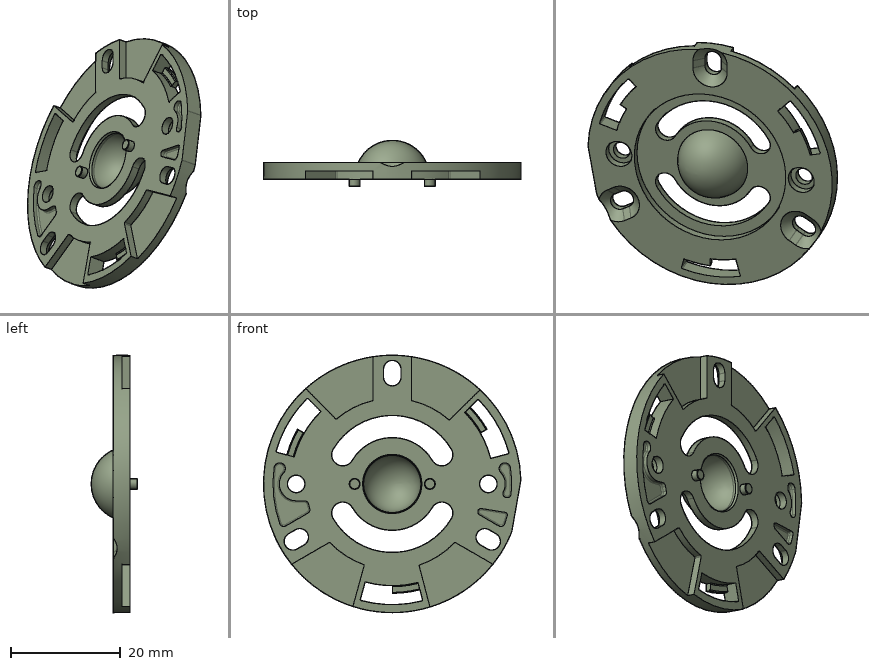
import cadquery as cq
import math

plate_radius = 23.5
front_layer = 1.5
plate_thickness = 3.1
overshoot = 0.45
flat_distance = 22.985
flat_angle = -10
back_recess_radius = 14.55
window_angles = (29.6, 149.6, 269.6)
ear_angles = (90, 210, 330)

sector_inner_radius = 15.6
ear_half_width = 3.5
window_frame = 1.0

window_inner_radius = 18.55
window_outer_radius = 22.0
window_half_angle = 15.0
tab_width = 1.4
tab_angle = 14.6
tab_thickness = 1.0
small_corner_radius = 0.2

hole_radius = 1.575
hole_offset = 17.5
counterbore_radius = 2.5
slot_center_radius = 20.2
slot_length = 4.6
countersink_radius = 3.3

arc_slot_radius = 10.45
arc_slot_half_width = 1.995
arc_slot_half_angle = 59.5

dome_radius = 6.8
dome_height = 4.05
dome_center_y = plate_thickness + dome_height - dome_radius
cavity_mouth_radius = 5.4
cavity_throat_radius = 5.2
cavity_mouth_depth = 0.45
cavity_throat_depth = 1.0
pin_radius = 1.0
pin_height = 1.3
pin_offset = 6.85
pin_chamfer = 0.1

pocket_depth = 1.0
pocket_floor_fillet = 0.25
pocket_outer_radius = 21.75
pocket_inner_radius = 15.75
wall_to_pocket = 1.5
large_cap_radius = 1.05
small_cap_radius = 0.75
corner_radius = 0.75
tip_radius = 0.45
triangle_tip_distance = 13.6
triangle_tip_radius = 0.6
triangle_upper_angle = -14


def polar(radius, angle):
    """Point (x, z) at a radius and an angle in degrees about the plate axis."""
    return radius * math.cos(math.radians(angle)), radius * math.sin(math.radians(angle))


def plane_at(y):
    """Work plane parallel to the plate, with local x along X and local y along Z."""
    return cq.Workplane("XZ", origin=(0, y, 0))


def disc(radius, y_start, y_end, center=(0, 0)):
    return plane_at(y_start).center(*center).circle(radius).extrude(y_start - y_end)


def ring_sector(inner, outer, start, end, y_start, y_end):
    """Block between two radii and two angles."""
    middle = (start + end) / 2
    outline = (
        plane_at(y_start)
        .moveTo(*polar(inner, start))
        .lineTo(*polar(outer, start))
        .threePointArc(polar(outer, middle), polar(outer, end))
        .lineTo(*polar(inner, end))
        .threePointArc(polar(inner, middle), polar(inner, start))
        .close()
    )
    return outline.extrude(y_start - y_end)


def turned(body, angle):
    """Body turned from +X toward +Z by an angle in degrees."""
    return body.rotate((0, 0, 0), (0, -1, 0), angle)


def radial_bar(angle, half_width, y_start, y_end):
    """Straight bar running outward from the plate axis."""
    length = plate_radius + overshoot
    bar = plane_at(y_start).center(length / 2, 0).rect(length, 2 * half_width).extrude(y_start - y_end)
    return turned(bar, angle)


def round_corner(body, point, radius):
    """Rounds the edge parallel to Y that stands at the given (x, z) point."""
    nearest = cq.selectors.NearestToPointSelector((point[0], body.val().Center().y, point[1]))
    return body.edges("|Y").edges(nearest).fillet(radius)


def front_sector(ear_angle, window_angle):
    """Recess between an ear and the frame of a neighbouring window."""
    side = 1 if window_angle > ear_angle else -1
    window_edge = window_angle - side * window_half_angle
    start, end = sorted((ear_angle, window_edge))
    outer = plate_radius + overshoot
    sector = ring_sector(sector_inner_radius, outer, start, end, -overshoot, front_layer)
    sector = sector.cut(radial_bar(ear_angle, ear_half_width, -overshoot, front_layer))
    sector = sector.cut(radial_bar(window_edge, window_frame, -overshoot, front_layer))
    edges = ((ear_angle, ear_half_width, side), (window_edge, window_frame, -side))
    for edge_angle, offset, turn in edges:
        corner_angle = edge_angle + turn * math.degrees(math.asin(offset / sector_inner_radius))
        sector = round_corner(sector, polar(sector_inner_radius, corner_angle), small_corner_radius)
    return sector


def rim_flat():
    """Block that trims a flat on the rim."""
    depth = plate_radius + overshoot - flat_distance
    block = (
        plane_at(-overshoot)
        .center(flat_distance + depth / 2, 0)
        .rect(depth, plate_radius)
        .extrude(-plate_thickness - 2 * overshoot)
    )
    return turned(block, flat_angle)


def arc_slot(middle_angle):
    """Curved slot through the plate with round ends."""
    start = middle_angle - arc_slot_half_angle
    end = middle_angle + arc_slot_half_angle
    inner = arc_slot_radius - arc_slot_half_width
    outer = arc_slot_radius + arc_slot_half_width
    slot = ring_sector(inner, outer, start, end, -overshoot, plate_thickness + overshoot)
    for angle in (start, end):
        center = polar(arc_slot_radius, angle)
        slot = slot.union(disc(arc_slot_half_width, -overshoot, plate_thickness + overshoot, center))
    return slot


def ear_slot(angle):
    """Radial slot with a 45 degree countersink from the back face."""
    straight = slot_length - 2 * hole_radius
    through = (
        plane_at(-overshoot)
        .center(slot_center_radius, 0)
        .slot2D(slot_length, 2 * hole_radius)
        .extrude(-plate_thickness - 2 * overshoot)
    )
    sink = (
        plane_at(plate_thickness)
        .center(slot_center_radius, 0)
        .slot2D(straight + 2 * countersink_radius, 2 * countersink_radius)
        .extrude(countersink_radius - hole_radius, taper=45)
    )
    return turned(through.union(sink), angle)


def cap_center(cap_radius, side, vertical):
    """Centre of a circle touching the pocket's outer arc and the wall around a screw hole."""
    to_axis = pocket_outer_radius - cap_radius
    to_hole = hole_radius + wall_to_pocket + cap_radius
    x = (to_axis**2 - to_hole**2 + hole_offset**2) / (2 * hole_offset)
    return side * x, vertical * math.sqrt(to_axis**2 - x**2)


def touch_points(center, side):
    """Where a cap meets the outer arc and where it meets the wall around the hole."""
    stretch = pocket_outer_radius / math.hypot(*center)
    on_arc = (center[0] * stretch, center[1] * stretch)
    hole_x = side * hole_offset
    wall_radius = hole_radius + wall_to_pocket
    reach = math.hypot(center[0] - hole_x, center[1])
    on_wall = (hole_x + (center[0] - hole_x) * wall_radius / reach, center[1] * wall_radius / reach)
    return on_arc, on_wall


def cap_top(center, cap_radius, vertical):
    return center[0], center[1] + vertical * cap_radius


def round_floor(pocket):
    return pocket.faces(">Y").edges().fillet(pocket_floor_fillet)


def right_hook_pocket():
    """Narrow crescent between the right screw hole and the rim."""
    wall_radius = hole_radius + wall_to_pocket
    upper = cap_center(large_cap_radius, 1, 1)
    lower = cap_center(small_cap_radius, 1, -1)
    upper_arc, upper_wall = touch_points(upper, 1)
    lower_arc, lower_wall = touch_points(lower, 1)
    pocket = (
        plane_at(0)
        .moveTo(*lower_arc)
        .threePointArc((pocket_outer_radius, 0), upper_arc)
        .threePointArc(cap_top(upper, large_cap_radius, 1), upper_wall)
        .threePointArc((hole_offset + wall_radius, 0), lower_wall)
        .threePointArc(cap_top(lower, small_cap_radius, -1), lower_arc)
        .close()
        .extrude(-pocket_depth)
    )
    return round_floor(pocket)


def slot_wall_point(radius, side):
    """Point at a radius on the line that leaves a wall above a lower ear slot."""
    offset = hole_radius + wall_to_pocket
    x, z = polar(radius, -30 + math.degrees(math.asin(offset / radius)))
    return side * x, z


def left_hook_pocket():
    """Crescent around the left screw hole that widens toward the lower ear slot."""
    wall_radius = hole_radius + wall_to_pocket
    upper = cap_center(large_cap_radius, -1, 1)
    upper_arc, upper_wall = touch_points(upper, -1)
    inner_angle = 180 + math.degrees(math.asin(wall_radius / pocket_inner_radius))
    pocket = (
        plane_at(0)
        .moveTo(*slot_wall_point(pocket_outer_radius, -1))
        .threePointArc((-pocket_outer_radius, 0), upper_arc)
        .threePointArc(cap_top(upper, large_cap_radius, 1), upper_wall)
        .threePointArc((-hole_offset - wall_radius, 0), (-hole_offset, -wall_radius))
        .lineTo(*polar(pocket_inner_radius, inner_angle))
        .lineTo(*slot_wall_point(pocket_inner_radius, -1))
        .close()
        .extrude(-pocket_depth)
    )
    pocket = round_corner(pocket, slot_wall_point(pocket_outer_radius, -1), corner_radius)
    pocket = round_corner(pocket, polar(pocket_inner_radius, inner_angle), corner_radius)
    pocket = round_corner(pocket, slot_wall_point(pocket_inner_radius, -1), corner_radius)
    return round_floor(pocket)


def triangle_pocket():
    """Tapered pocket between the right screw hole and the lower right ear slot."""
    tip = slot_wall_point(triangle_tip_distance, 1)
    lower = slot_wall_point(pocket_outer_radius, 1)
    upper = polar(pocket_outer_radius, triangle_upper_angle)
    lower_angle = math.degrees(math.atan2(lower[1], lower[0]))
    middle = polar(pocket_outer_radius, (lower_angle + triangle_upper_angle) / 2)
    pocket = (
        plane_at(0)
        .moveTo(*tip)
        .lineTo(*upper)
        .threePointArc(middle, lower)
        .close()
        .extrude(-pocket_depth)
    )
    pocket = round_corner(pocket, tip, triangle_tip_radius)
    pocket = round_corner(pocket, upper, tip_radius)
    pocket = round_corner(pocket, lower, corner_radius)
    return round_floor(pocket)


def window(angle):
    """Opening through the plate with its two outer corners rounded."""
    start = angle - window_half_angle
    end = angle + window_half_angle
    opening = ring_sector(
        window_inner_radius, window_outer_radius, start, end, -overshoot, plate_thickness + overshoot
    )
    for edge_angle in (start, end):
        opening = round_corner(opening, polar(window_outer_radius, edge_angle), small_corner_radius)
    return opening


def tab(window_angle):
    """Snap tab flush with the back, with a rounded root and a rounded front edge."""
    front = plate_thickness - tab_thickness
    outer = window_inner_radius + tab_width
    root = window_inner_radius - overshoot
    rounding = small_corner_radius
    profile = (
        cq.Workplane("XY")
        .moveTo(root, plate_thickness)
        .lineTo(root, front - rounding)
        .lineTo(window_inner_radius, front - rounding)
        .radiusArc((window_inner_radius + rounding, front), -rounding)
        .lineTo(outer - rounding, front)
        .radiusArc((outer, front + rounding), rounding)
        .lineTo(outer, plate_thickness)
        .close()
    )
    body = profile.revolve(tab_angle, (0, 0, 0), (0, -1, 0))
    return turned(body, window_angle + window_half_angle - tab_angle)


def revolved(profile):
    return profile.close().revolve(360, (0, 0, 0), (0, 1, 0))


def dome():
    """Spherical cap that rises from the thin web to the back."""
    start_angle = math.asin((front_layer - dome_center_y) / dome_radius)
    middle_angle = (start_angle + math.pi / 2) / 2
    foot = (dome_radius * math.cos(start_angle), front_layer)
    middle = (
        dome_radius * math.cos(middle_angle),
        dome_center_y + dome_radius * math.sin(middle_angle),
    )
    top = (0, dome_center_y + dome_radius)
    return revolved(cq.Workplane("XY").moveTo(0, front_layer).lineTo(*foot).threePointArc(middle, top))


def cavity():
    """Tapered mouth, short straight throat, and a sphere concentric with the dome."""
    throat_height = cavity_throat_depth - dome_center_y
    radius = math.hypot(cavity_throat_radius, throat_height)
    middle_angle = (math.atan2(throat_height, cavity_throat_radius) + math.pi / 2) / 2
    middle = (radius * math.cos(middle_angle), dome_center_y + radius * math.sin(middle_angle))
    profile = (
        cq.Workplane("XY")
        .lineTo(cavity_mouth_radius, 0)
        .lineTo(cavity_throat_radius, cavity_mouth_depth)
        .lineTo(cavity_throat_radius, cavity_throat_depth)
        .threePointArc(middle, (0, dome_center_y + radius))
    )
    return revolved(profile)


plate = disc(plate_radius, 0, plate_thickness)
plate = plate.cut(disc(back_recess_radius, front_layer, plate_thickness + overshoot))
plate = plate.cut(rim_flat())
for ear_number, window_number in ((0, 0), (0, 1), (1, 2), (2, 2)):
    plate = plate.cut(front_sector(ear_angles[ear_number], window_angles[window_number]))
for angle in window_angles:
    plate = plate.cut(window(angle)).union(tab(angle))
for angle in ear_angles:
    plate = plate.cut(ear_slot(angle))
for angle in (90, 270):
    plate = plate.cut(arc_slot(angle))
for side in (-1, 1):
    center = (side * hole_offset, 0)
    plate = plate.cut(disc(hole_radius, -overshoot, plate_thickness + overshoot, center))
    plate = plate.cut(disc(counterbore_radius, front_layer, plate_thickness + overshoot, center))

plate = plate.union(dome()).cut(cavity())

for side in (-1, 1):
    pin = disc(pin_radius, -pin_height, front_layer, (side * pin_offset, 0))
    plate = plate.union(pin.faces("<Y").chamfer(pin_chamfer))

for pocket in (left_hook_pocket(), right_hook_pocket(), triangle_pocket()):
    plate = plate.cut(pocket)

result = plate